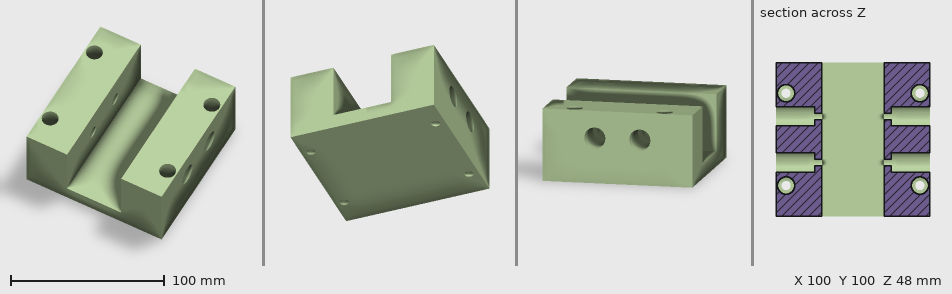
import cadquery as cq

length = 100.0
width = 100.0
height = 48.0

channel_width = 40.0
floor_thickness = 10.0
wall_thickness = (length - channel_width) / 2

seat_thickness = 5.0

mount_diameter = 6.0
mount_bore_diameter = 11.0
mount_bore_depth = height - seat_thickness
mount_spacing_x = 87.0
mount_spacing_y = 60.0

clamp_diameter = 8.0
clamp_bore_diameter = 14.0
clamp_bore_depth = wall_thickness - seat_thickness
clamp_spacing_y = 30.0
clamp_height = 30.0


def channel_block():
    """Block with an open rectangular channel along its full Y length."""
    block = cq.Workplane("XY").box(length, width, height, centered=(True, True, False))
    channel = (
        cq.Workplane("XY", origin=(0, 0, floor_thickness))
        .box(channel_width, width, height - floor_thickness, centered=(True, True, False))
    )
    return block.cut(channel)


def mount_cylinders(diameter, depth):
    """Vertical cylinders reaching down from the top face at each mounting hole."""
    return (
        cq.Workplane("XY", origin=(0, 0, height))
        .rarray(mount_spacing_x, mount_spacing_y, 2, 2)
        .circle(diameter / 2)
        .extrude(-depth)
    )


def clamp_cylinders(start_x, diameter, depth):
    """Pair of cylinders reaching along +X from start_x at the clamping holes."""
    return (
        cq.Workplane("YZ", origin=(start_x, 0, clamp_height))
        .pushPoints([(-clamp_spacing_y / 2, 0), (clamp_spacing_y / 2, 0)])
        .circle(diameter / 2)
        .extrude(depth)
    )


def cut_mount_holes(body):
    """Four counterbored holes going down through the walls."""
    body = body.cut(mount_cylinders(mount_diameter, height))
    return body.cut(mount_cylinders(mount_bore_diameter, mount_bore_depth))


def cut_clamp_holes(body):
    """Two holes across both walls, with a counterbore at each outer end."""
    body = body.cut(clamp_cylinders(-length / 2, clamp_diameter, length))
    for start_x in (-length / 2, length / 2 - clamp_bore_depth):
        body = body.cut(clamp_cylinders(start_x, clamp_bore_diameter, clamp_bore_depth))
    return body


result = cut_clamp_holes(cut_mount_holes(channel_block()))